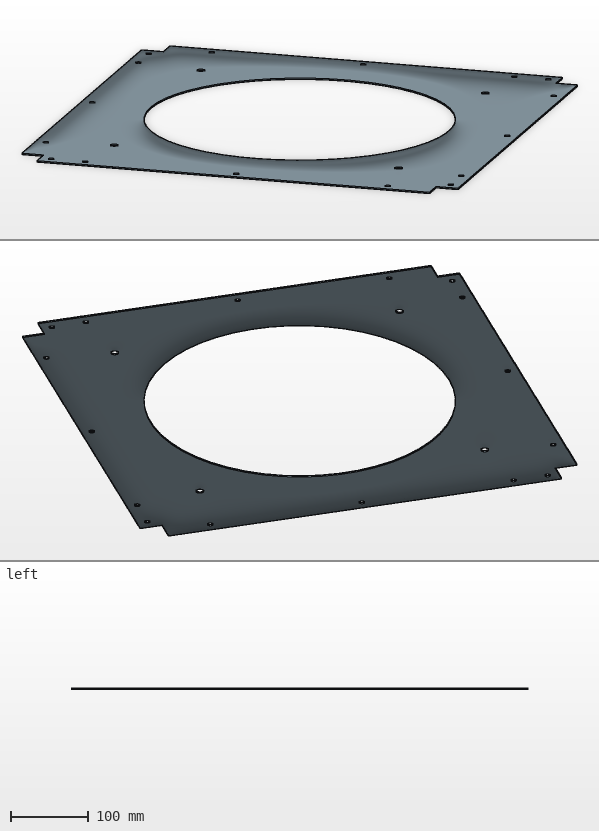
import cadquery as cq

side = 586.0
thickness = 2.0
notch = 29.5

opening_diameter = 400.0
mount_hole_diameter = 10.0
mount_hole_offset = 191.0

rim_hole_diameter = 7.0
rim_hole_inset = 14.0
rim_hole_spacing = 203.5
end_hole_offset = 249.0

half_side = side / 2
rim_line = half_side - rim_hole_inset


def make_plate():
    plate = cq.Workplane("XY").box(side, side, thickness)
    corner_centers = [(x, y) for x in (-half_side, half_side) for y in (-half_side, half_side)]
    cutters = (
        cq.Workplane("XY")
        .pushPoints(corner_centers)
        .box(2 * notch, 2 * notch, 2 * thickness)
    )
    return plate.cut(cutters)


def rim_hole_points():
    """Holes of the +Y side, turned a quarter at a time onto the other sides."""
    points = []
    for along in (-rim_hole_spacing, 0, rim_hole_spacing, end_hole_offset):
        x, y = along, rim_line
        for _ in range(4):
            points.append((x, y))
            x, y = y, -x
    return points


def drill(plate, points, diameter):
    return plate.faces(">Z").workplane(origin=(0, 0, 0)).pushPoints(points).hole(diameter)


mount_hole_points = [
    (x, y)
    for x in (-mount_hole_offset, mount_hole_offset)
    for y in (-mount_hole_offset, mount_hole_offset)
]

result = make_plate()
result = drill(result, [(0, 0)], opening_diameter)
result = drill(result, mount_hole_points, mount_hole_diameter)
result = drill(result, rim_hole_points(), rim_hole_diameter)